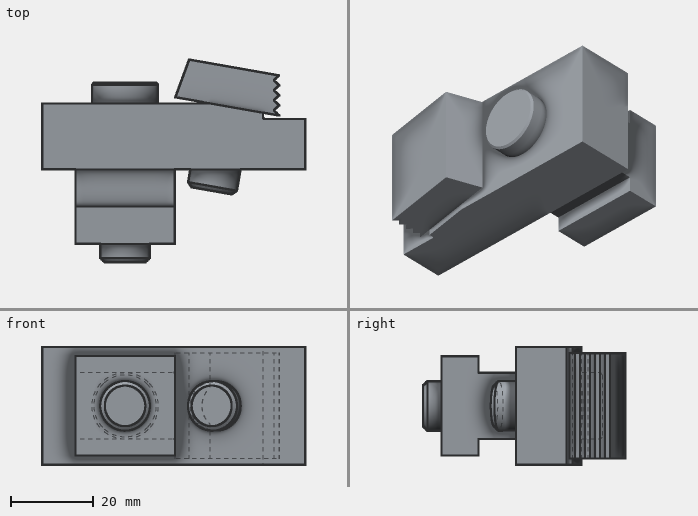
import cadquery as cq
import math

plate_length = 63.5
plate_thickness = 15.875
plate_height = 28.5
step_x = 53.3
step_floor_y = 12.15
step_fillet = 0.5

nut_x = 20.0
nut_width = 24.0
nut_neck_height = 16.0
nut_neck_depth = 9.0
nut_head_depth = 9.0
nut_front_y = -(nut_neck_depth + nut_head_depth)

screw_diameter = 12.0
screw_chamfer = 1.1
nut_screw_tip = 4.45
screw_head_diameter = 16.0
screw_head_height = 5.0
screw_head_chamfer = 0.5

ramp_angle = 10.0
ramp_slope = math.tan(math.radians(ramp_angle))
ramp_start_x = 40.5
jaw_height = 25.4
jaw_heel_x = 32.1
jaw_crest_x = 35.45
jaw_thickness = 9.72
tooth_tip_x = 57.2
tooth_depth = 1.3
tooth_pitch = 2.41
root_count = 4

jaw_screw_x = 41.82
jaw_screw_tip = 5.3


def ramp_y(x):
    """Height of the ramp plane, which is also the underside of the jaw."""
    return plate_thickness - (x - ramp_start_x) * ramp_slope


def extrude_along_z(points, height):
    """Prism over an XY outline, centred on Z = 0."""
    return cq.Workplane("XY").polyline(points).close().extrude(height / 2, both=True)


def make_plate():
    outline = [
        (0, 0),
        (plate_length, 0),
        (plate_length, step_floor_y),
        (step_x, step_floor_y),
        (step_x, ramp_y(step_x)),
        (ramp_start_x, plate_thickness),
        (0, plate_thickness),
    ]
    plate = extrude_along_z(outline, plate_height)
    corner = cq.selectors.NearestToPointSelector((step_x, step_floor_y, 0))
    return plate.edges("|Z").edges(corner).fillet(step_fillet)


def block_along_y(width, height, start_y, end_y):
    """Block centred on the T-nut axis."""
    block = cq.Workplane("XY").box(width, end_y - start_y, height)
    return block.translate((nut_x, (start_y + end_y) / 2, 0))


def make_nut():
    neck = block_along_y(nut_width, nut_neck_height, -nut_neck_depth, 0)
    head = block_along_y(nut_width, nut_width, nut_front_y, -nut_neck_depth)
    return neck.union(head)


def cylinder_along_y(diameter, start_y, end_y):
    """Cylinder about the Y axis."""
    return cq.Workplane("XZ", origin=(0, start_y, 0)).circle(diameter / 2).extrude(start_y - end_y)


def make_nut_screw():
    shank = cylinder_along_y(screw_diameter, nut_front_y - nut_screw_tip, plate_thickness)
    shank = shank.faces("<Y").chamfer(screw_chamfer)
    head = cylinder_along_y(screw_head_diameter, plate_thickness, plate_thickness + screw_head_height)
    head = head.faces(">Y").chamfer(screw_head_chamfer)
    return shank.union(head).translate((nut_x, 0, 0))


def make_jaw():
    root_x = tooth_tip_x - tooth_depth
    first_root_y = ramp_y(tooth_tip_x) + tooth_depth
    flank_slope = tooth_pitch / 2 / tooth_depth

    outline = [
        (jaw_heel_x, ramp_y(jaw_heel_x)),
        (tooth_tip_x, ramp_y(tooth_tip_x)),
        (root_x, first_root_y),
    ]
    for root in range(1, root_count):
        root_y = first_root_y + root * tooth_pitch
        outline.append((tooth_tip_x, root_y - tooth_pitch / 2))
        outline.append((root_x, root_y))

    last_root_y = first_root_y + (root_count - 1) * tooth_pitch
    flank_run = (ramp_y(root_x) + jaw_thickness - last_root_y) / (flank_slope + ramp_slope)
    outline.append((root_x + flank_run, last_root_y + flank_run * flank_slope))
    outline.append((jaw_crest_x, ramp_y(jaw_crest_x) + jaw_thickness))
    return extrude_along_z(outline, jaw_height)


def make_jaw_screw():
    end_y = plate_thickness + jaw_thickness / 2
    screw = cylinder_along_y(screw_diameter, -jaw_screw_tip, end_y)
    screw = screw.faces("<Y").chamfer(screw_chamfer)
    screw = screw.rotate((0, 0, 0), (0, 0, 1), -ramp_angle)
    return screw.translate((jaw_screw_x, 0, 0))


result = (
    make_plate()
    .union(make_nut())
    .union(make_nut_screw())
    .union(make_jaw())
    .union(make_jaw_screw())
)